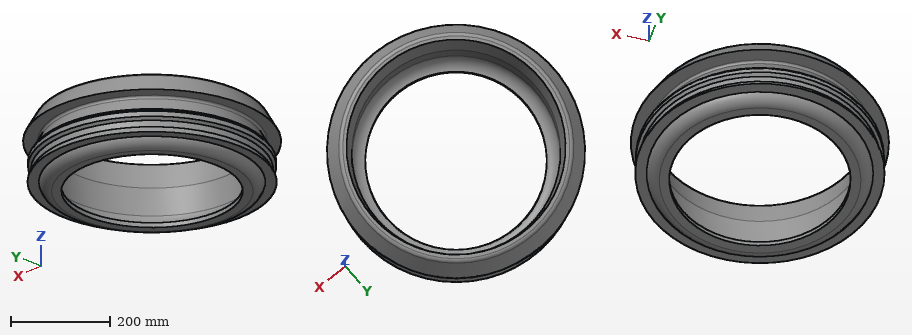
import cadquery as cq
import math

height = 155.0
rim_fillet_z = 150.5
skirt_z = 109.0
neck_z = 103.0
mouth_base_z = 99.5
cone_base_z = 73.5
bead_top_z = 70.0
bead_land_top_z = 65.5
bead_land_base_z = 54.0
groove_top_z = 48.0
flange_top_z = 34.0
flange_base_z = 20.0
lip_thickness = 10.5

skirt_radius = 260.0
rim_cone_radius = 236.5
rim_flat_radius = 228.5
neck_radius = 228.0
neck_flare = 3.5
body_radius = 488.0 / 2
bead_radius = 500.0 / 2
flange_radius = 251.0
bottom_bend_radius = 26.0

mouth_radius = 220.5
bore_radius = 420.0 / 2
opening_radius = 365.0 / 2
bowl_radius = bore_radius - opening_radius

diagonal = math.cos(math.radians(45))
bowl_center_z = lip_thickness + bowl_radius
bowl_mid = (
    opening_radius + bowl_radius * diagonal,
    bowl_center_z - bowl_radius * diagonal,
)

bottom_flat_radius = 203.0
bend_end_angle = math.asin((bottom_bend_radius - flange_base_z) / bottom_bend_radius)
bend_end_radius = bottom_flat_radius + bottom_bend_radius * math.cos(bend_end_angle)
bend_mid_angle = (bend_end_angle + math.pi / 2) / 2
bend_mid = (
    bottom_flat_radius + bottom_bend_radius * math.cos(bend_mid_angle),
    bottom_bend_radius * (1 - math.sin(bend_mid_angle)),
)

profile = (
    cq.Workplane("XZ")
    .moveTo(opening_radius, 0)
    .lineTo(bottom_flat_radius, 0)
    .threePointArc(bend_mid, (bend_end_radius, flange_base_z))
    .lineTo(flange_radius, flange_base_z)
    .lineTo(body_radius, flange_top_z)
    .lineTo(body_radius, groove_top_z)
    .lineTo(bead_radius, bead_land_base_z)
    .lineTo(bead_radius, bead_land_top_z)
    .lineTo(body_radius, bead_top_z)
    .lineTo(body_radius, cone_base_z)
    .lineTo(neck_radius, neck_z)
    .tangentArcPoint((neck_radius + neck_flare, skirt_z), relative=False)
    .lineTo(skirt_radius, skirt_z)
    .lineTo(rim_cone_radius, rim_fillet_z)
    .tangentArcPoint((rim_flat_radius, height), relative=False)
    .lineTo(mouth_radius, height)
    .lineTo(bore_radius, mouth_base_z)
    .lineTo(bore_radius, bowl_center_z)
    .threePointArc(bowl_mid, (opening_radius, lip_thickness))
    .close()
)

result = profile.revolve(360, (0, 0, 0), (0, 1, 0))